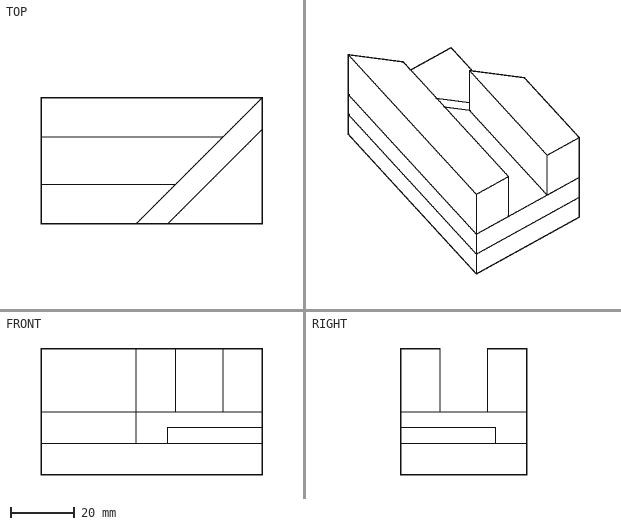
import cadquery as cq

length = 70.0
unit = length / 7
width = 4 * unit
base_height = unit
block_height = unit
wall_height = 2 * unit
wedge_height = unit / 2
groove_width = unit
slot_width = 1.5 * unit

wall_thickness = (width - slot_width) / 2
block_top = base_height + block_height
diagonal_start = length - width
wedge_start = diagonal_start + groove_width
wedge_leg = length - wedge_start


def prism(points, bottom, height):
    """Extrude a closed plan outline upward from the level `bottom`."""
    return cq.Workplane("XY").workplane(offset=bottom).polyline(points).close().extrude(height)


def strip(y_front, y_back, bottom, height):
    """Strip parallel to X that ends on the 45 degree diagonal face."""
    outline = [
        (0, y_front),
        (diagonal_start + y_front, y_front),
        (diagonal_start + y_back, y_back),
        (0, y_back),
    ]
    return prism(outline, bottom, height)


def make_base():
    """Rectangular plate below all the other bodies."""
    return cq.Workplane("XY").box(length, width, base_height, centered=False)


def make_block():
    """Full-width block, its top being the floor of the slot."""
    return strip(0, width, base_height, block_height)


def make_wall(y_front):
    """One of the two walls beside the slot."""
    return strip(y_front, y_front + wall_thickness, block_top, wall_height)


def make_wedge():
    """Low triangular wedge across the diagonal groove from the block."""
    outline = [(wedge_start, 0), (length, 0), (length, wedge_leg)]
    return prism(outline, base_height, wedge_height)


base = make_base()
block = make_block()
walls = [make_wall(y_front) for y_front in (0, width - wall_thickness)]
wedge = make_wedge()

result = cq.Compound.makeCompound(
    [base.val(), block.val(), *[wall.val() for wall in walls], wedge.val()]
)